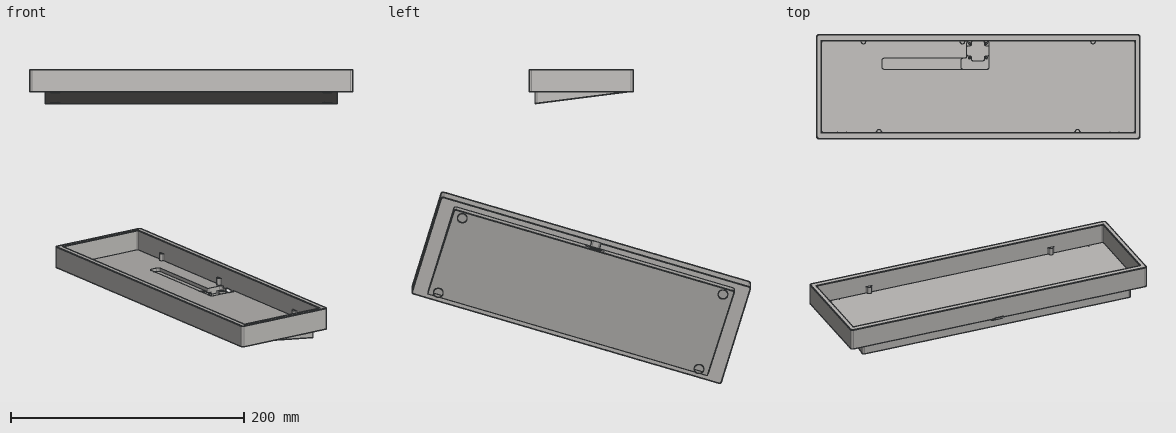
import cadquery as cq
import math

length = 277.0
width = 89.5
height = 29.5
tray_height = 19.0
corner_radius = 2.0
edge_chamfer = 0.5

end_wall = 4.5
side_wall = 5.5
cavity_depth = 17.5
cavity_radius = 1.0
rim_chamfer = edge_chamfer

wedge_length = 251.0
wedge_inset_back = 5.0
wedge_inset_front = 3.3
wedge_radius = 1.7

foot_diameter = 8.3
foot_depth = 1.0
foot_x = 116.7
foot_back_y = 33.8
foot_front_y = -37.5

bump_radius = 2.0
bump_offset = 0.5
bump_flare = 1.0
bump_height = 6.0
back_bumps_x = (-98.5, -13.5, 98.5)
front_bumps_x = (-85.0, 85.0)

channel_left = -82.5
channel_front = 14.7
channel_back = 24.7
channel_depth = 3.0
channel_radius = 2.5
inner_corner_radius = 0.8
ledge_left = -15.0
ledge_depth = 4.0
pocket_left = -10.0
pocket_right = 9.5
pocket_front = 22.2
pocket_depth = 5.8
pocket_back_wall = 0.5

boss_side = 4.2
boss_radius = 1.5
screw_diameter = 1.64
screw_depth = 2.8
screw_inset_x = 2.5
screw_y = (24.7, 37.0)

port_width = 8.3
port_height = 3.3
port_radius = 1.5

wedge_height = height - tray_height
floor_z = height - cavity_depth
ledge_z = floor_z - ledge_depth
pocket_z = floor_z - pocket_depth
cavity_half_width = width / 2 - side_wall
wedge_back = width / 2 - wedge_inset_back
wedge_front = wedge_inset_front - width / 2
slope_low_y = wedge_back - edge_chamfer
slope = wedge_height / (slope_low_y - wedge_front)
pocket_back = wedge_back - pocket_back_wall
pocket_center_x = (pocket_left + pocket_right) / 2


def block(left, right, front, back, bottom, top):
    """Box between the given limits."""
    box = cq.Workplane("XY").box(right - left, back - front, top - bottom, centered=False)
    return box.translate((left, front, bottom))


def cylinder(x, y, radius, bottom, top):
    """Upright cylinder between two levels."""
    return cq.Workplane("XY", origin=(x, y, bottom)).circle(radius).extrude(top - bottom)


def make_tray():
    """Solid tray body with rounded corners and broken edges."""
    body = cq.Workplane("XY", origin=(0, 0, wedge_height)).rect(length, width).extrude(tray_height)
    body = body.edges("|Z").fillet(corner_radius)
    return body.faces("<Z or >Z").chamfer(edge_chamfer)


def make_wedge():
    """Wedge foot, reaching up into the tray floor."""
    side_profile = [
        (wedge_back, -edge_chamfer * slope),
        (wedge_back, floor_z),
        (wedge_front, floor_z),
        (wedge_front, wedge_height),
    ]
    wedge = cq.Workplane("YZ").polyline(side_profile).close().extrude(wedge_length / 2, both=True)
    wedge = wedge.edges("|Z and >Y").fillet(wedge_radius)
    return wedge.faces("<Z").chamfer(edge_chamfer)


def make_cavity():
    """Open-topped hollow of the tray with a chamfered rim."""
    cavity = (
        cq.Workplane("XY", origin=(0, 0, floor_z))
        .rect(length - 2 * end_wall, 2 * cavity_half_width)
        .extrude(cavity_depth)
        .edges("|Z")
        .fillet(cavity_radius)
    )
    rim = (
        cq.Workplane("XY", origin=(0, 0, height))
        .rect(length - 2 * (end_wall - rim_chamfer), 2 * (cavity_half_width + rim_chamfer))
        .extrude(-rim_chamfer, taper=45)
    )
    return cavity.union(rim)


def make_bump(x, side):
    """Rounded bump flaring into the long wall on the given side (+1 back, -1 front)."""
    bump = block(-2 * bump_radius, 2 * bump_radius, 0, side_wall / 2, 0, bump_height)
    bump = bump.union(cylinder(0, -bump_offset, bump_radius, 0, bump_height))
    reach = bump_offset / 2
    inside_corners = cq.selectors.BoxSelector((-bump_radius, -reach, 0), (bump_radius, reach, bump_height))
    bump = bump.edges("|Z").edges(inside_corners).fillet(bump_flare)
    if side < 0:
        bump = bump.rotate((0, 0, 0), (0, 0, 1), 180)
    return bump.translate((x, side * cavity_half_width, floor_z))


def make_floor_recess():
    """Channel, ledge and pocket, with the screw bosses left standing at ledge level."""
    channel = block(channel_left, pocket_right, channel_front, channel_back, floor_z - channel_depth, floor_z)
    channel = channel.edges("|Z").fillet(channel_radius)

    ledge = block(ledge_left, pocket_right, channel_front, channel_back, ledge_z, floor_z)
    ledge = ledge.union(block(pocket_left, pocket_right, channel_front, pocket_back, ledge_z, floor_z))
    ledge_mid_z = floor_z - ledge_depth / 2
    meeting_corner = cq.selectors.NearestToPointSelector((pocket_left, channel_back, ledge_mid_z))
    ledge = ledge.edges(meeting_corner).fillet(inner_corner_radius)
    ledge = ledge.edges("|Z and (<X or >X or >Y)").fillet(channel_radius)

    pocket = block(pocket_left, pocket_right, pocket_front, pocket_back, pocket_z, ledge_z)
    for left in (pocket_left, pocket_right - boss_side):
        for front in (pocket_front, pocket_back - boss_side):
            pocket = pocket.cut(block(left, left + boss_side, front, front + boss_side, pocket_z, ledge_z))
    pocket = pocket.edges("|Z").fillet(boss_radius)
    return channel.union(ledge).union(pocket)


def make_screw_holes():
    """Blind screw holes in the four bosses."""
    holes_x = (pocket_left + screw_inset_x, pocket_right - screw_inset_x)
    places = [(x, y) for x in holes_x for y in screw_y]
    holes = cq.Workplane("XY", origin=(0, 0, ledge_z)).pushPoints(places)
    return holes.circle(screw_diameter / 2).extrude(-screw_depth)


def make_port():
    """Rounded opening from the pocket out through the back."""
    port = block(
        pocket_center_x - port_width / 2,
        pocket_center_x + port_width / 2,
        pocket_back - pocket_back_wall,
        width / 2,
        ledge_z,
        ledge_z + port_height,
    )
    return port.edges("|Y").fillet(port_radius)


def make_foot_recess(x, y):
    """Disc sunk square into the sloped underside."""
    surface_z = (slope_low_y - y) * slope
    disc = cq.Workplane("XY").circle(foot_diameter / 2).extrude(foot_depth, both=True)
    disc = disc.rotate((0, 0, 0), (1, 0, 0), -math.degrees(math.atan(slope)))
    return disc.translate((x, y, surface_z))


result = make_tray().union(make_wedge()).cut(make_cavity())
for x in back_bumps_x:
    result = result.union(make_bump(x, 1))
for x in front_bumps_x:
    result = result.union(make_bump(x, -1))
result = result.cut(make_floor_recess()).cut(make_screw_holes()).cut(make_port())
for x in (-foot_x, foot_x):
    for y in (foot_front_y, foot_back_y):
        result = result.cut(make_foot_recess(x, y))